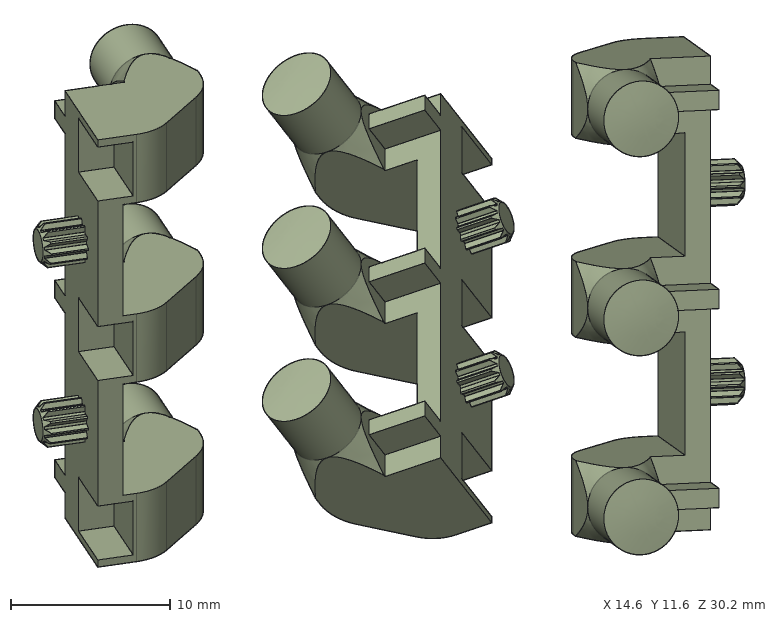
import cadquery as cq
import math

pitch = 12.7
block_size = 4.85
block_count = 3
length = block_size + pitch * (block_count - 1)
block_centres = [block_size / 2 + pitch * i for i in range(block_count)]
pin_centres = [(low + high) / 2 for low, high in zip(block_centres, block_centres[1:])]

plate_width = 7.0
plate_thickness = 1.65
block_depth = 8.77
back_angle = math.radians(45)
upper_radius = 3.93
lower_radius = 3.2
lower_arc_start = 2.55

tube_radius = block_size / 2
tube_centre_y = block_depth - tube_radius
tube_start = -3.25
tube_end = -7.45
tube_tip = -7.6
flare_end = -0.15

rib_reach = 2.18
rib_thickness = 1.25

pocket_width = 4.1
pocket_height = 3.8
pocket_depth = 2.33

pin_x = plate_width / 2
pin_length = 2.85
pin_root_radius = 1.15
pin_tip_radius = 1.48
pin_teeth = 12
tooth_root_width = 0.42
tooth_tip_width = 0.12
pin_chamfer = 0.42


def box(x_range, y_range, z_range):
    """Box between the given limits on each axis."""
    sizes = [high - low for low, high in (x_range, y_range, z_range)]
    corner = (x_range[0], y_range[0], z_range[0])
    return cq.Workplane("XY").box(*sizes, centered=False).translate(corner)


def elbow_profile():
    """Elbow outline: mounting face, rounded 45 degree back, square tube neck."""
    cos_full = math.cos(back_angle)
    cos_half = math.cos(back_angle / 2)
    sin_half = math.sin(back_angle / 2)
    lower_centre = (plate_width - lower_radius, lower_arc_start)
    lower_mid = (lower_centre[0] + lower_radius * cos_half, lower_centre[1] + lower_radius * sin_half)
    lower_end = (lower_centre[0] + lower_radius * cos_full, lower_centre[1] + lower_radius * cos_full)
    upper_centre_y = block_depth - upper_radius
    upper_start_y = upper_centre_y + upper_radius * cos_full
    upper_start_x = lower_end[0] - (upper_start_y - lower_end[1])
    upper_centre_x = upper_start_x - upper_radius * cos_full
    upper_mid = (upper_centre_x + upper_radius * sin_half, upper_centre_y + upper_radius * cos_half)
    neck_bottom = block_depth - block_size
    return (
        cq.Workplane("XY")
        .moveTo(0, 0)
        .lineTo(plate_width, 0)
        .lineTo(plate_width, lower_arc_start)
        .threePointArc(lower_mid, lower_end)
        .lineTo(upper_start_x, upper_start_y)
        .threePointArc(upper_mid, (upper_centre_x, block_depth))
        .lineTo(tube_start, block_depth)
        .lineTo(tube_start, neck_bottom)
        .lineTo(0, neck_bottom)
        .close()
    )


def flare():
    """Cone that blends the round tube into the square neck, reaching the neck corners."""
    corner_radius = tube_radius * math.sqrt(2)
    slope = (corner_radius - tube_radius) / (flare_end - tube_start)
    far_radius = tube_radius + slope * (plate_width - tube_start)
    return (
        cq.Workplane("XY")
        .moveTo(tube_start, 0)
        .lineTo(tube_start, tube_radius)
        .lineTo(plate_width, far_radius)
        .lineTo(plate_width, 0)
        .close()
        .revolve(360, (0, 0, 0), (1, 0, 0))
        .translate((0, tube_centre_y, 0))
    )


def tube():
    """Round tube whose end is a shallow spherical dome."""
    dome_height = tube_end - tube_tip
    dome_radius = (tube_radius**2 + dome_height**2) / (2 * dome_height)
    dome_half_angle = math.asin(tube_radius / dome_radius) / 2
    dome_mid = (
        tube_tip + dome_radius * (1 - math.cos(dome_half_angle)),
        -dome_radius * math.sin(dome_half_angle),
    )
    return (
        cq.Workplane("XY")
        .moveTo(tube_start, 0)
        .lineTo(tube_start, -tube_radius)
        .lineTo(tube_end, -tube_radius)
        .threePointArc(dome_mid, (tube_tip, 0))
        .close()
        .revolve(360, (0, 0, 0), (1, 0, 0))
        .translate((0, tube_centre_y, 0))
    )


def elbow():
    """Elbow with flared neck, tube and rib, centred on Z = 0."""
    half = block_size / 2
    prism = elbow_profile().extrude(block_size).translate((0, 0, -half))
    neck = box((tube_start, 0), (block_depth - block_size, block_depth), (-half, half))
    body = prism.cut(neck).union(neck.intersect(flare())).union(tube())
    rib = box((-rib_reach, 0), (0, tube_centre_y), (-rib_thickness / 2, rib_thickness / 2))
    return body.union(rib)


def pocket():
    """Pocket open to the mounting face and the back side, centred on Z = 0."""
    half = pocket_height / 2
    return box((plate_width - pocket_width, plate_width), (0, pocket_depth), (-half, half))


def splined_pin():
    """Pin along -Y from the mounting face, with tapered teeth and a chamfered end."""
    start = plate_thickness / 2
    reach = pin_length + start
    pin = cq.Workplane("XZ").circle(pin_root_radius).extrude(reach)
    tooth = (
        cq.Workplane("XZ")
        .polyline([
            (0, -tooth_root_width / 2),
            (pin_root_radius, -tooth_root_width / 2),
            (pin_tip_radius, -tooth_tip_width / 2),
            (pin_tip_radius, tooth_tip_width / 2),
            (pin_root_radius, tooth_root_width / 2),
            (0, tooth_root_width / 2),
        ])
        .close()
        .extrude(reach)
    )
    for i in range(pin_teeth):
        pin = pin.union(tooth.rotate((0, 0, 0), (0, 1, 0), i * 360 / pin_teeth))
    envelope = cq.Workplane("XZ").circle(pin_tip_radius).extrude(reach)
    envelope = envelope.faces("<Y").chamfer(pin_chamfer)
    return pin.intersect(envelope).translate((pin_x, start, 0))


result = box((0, plate_width), (0, plate_thickness), (0, length))
for z in block_centres:
    result = result.union(elbow().translate((0, 0, z)))
for z in block_centres:
    result = result.cut(pocket().translate((0, 0, z)))
for z in pin_centres:
    result = result.union(splined_pin().translate((0, 0, z)))